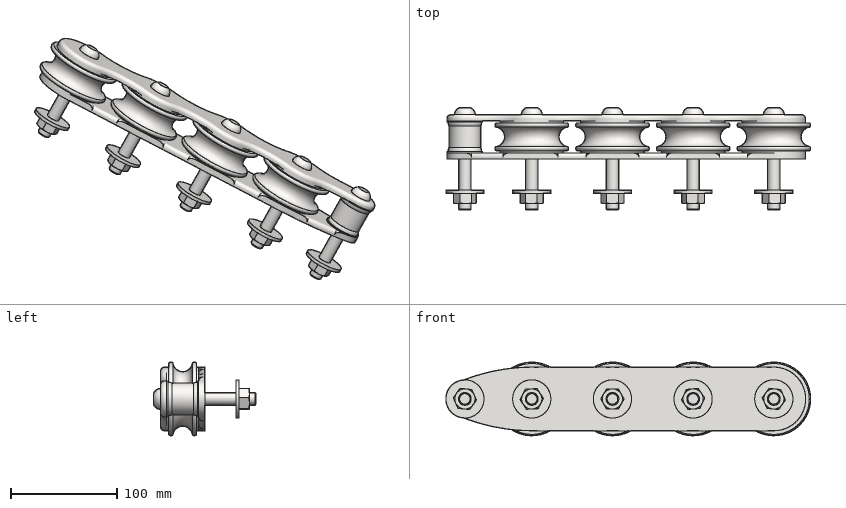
import cadquery as cq
import math


FIRST_ROLLER_X = 63.0
ROLLER_PITCH = 76.0
ROLLER_COUNT = 4
SPACER_X = 0.0
ROLLER_XS = [FIRST_ROLLER_X + ROLLER_PITCH * i for i in range(ROLLER_COUNT)]
LAST_ROLLER_X = ROLLER_XS[-1]
BOLT_XS = [SPACER_X] + ROLLER_XS

PLATE_GAP = 30.0
PLATE_THICKNESS = 6.0
PLATE_ROUNDING = 4.0
NOSE_RADIUS = 17.0
END_RADIUS = 30.0
WAIST_RADIUS = 40.0
NOSE_PAD_RADIUS = 16.8
PAD_HEIGHT = 1.0
INNER_Y = PLATE_GAP / 2
OUTER_Y = INNER_Y + PLATE_THICKNESS
PAD_Y = INNER_Y - PAD_HEIGHT
NOSE_BOSS_RADIUS = 21.5
ROLLER_BOSS_RADIUS = 39.0

ROLLER_RADIUS = 69.5 / 2
ROLLER_HALF_WIDTH = 13.2
HUB_RADIUS = 30.0
RIM_PEAK_Y = 11.1
RIM_SIDE_RADIUS = 33.4
GROOVE_HALF_WIDTH = 9.1
GROOVE_EDGE_RADIUS = 33.9
GROOVE_BOTTOM_RADIUS = 25.8

SPACER_RADIUS = 15.0
FLARE_RADIUS = 15.7
SPACER_END_RADIUS = 16.0
TAPER_LENGTH = 2.0
FLARE_Y = PAD_Y - TAPER_LENGTH
BODY_Y = FLARE_Y - TAPER_LENGTH

BOLT_RADIUS = 6.0
BOLT_CHAMFER = 1.0
BOLT_TIP_Y = -69.1
HEAD_HEIGHT = 6.5
HEAD_RADIUS = 10.0
HEAD_SHOULDER_RADIUS = 8.7
HEAD_SHOULDER_HEIGHT = 3.7
HEAD_TOP_RADIUS = 5.3
WASHER_RADIUS = 18.0
WASHER_THICKNESS = 3.0
WASHER_FRONT_Y = -53.2
NUT_ACROSS_FLATS = 19.0
NUT_HEIGHT = 9.7
NUT_CORNER_RADIUS = NUT_ACROSS_FLATS / math.sqrt(3)
NUT_CHAMFER_RISE = 0.8
NUT_TURNS = [6.0, -3.0, 0.0, -5.0, 6.0]


def cylinder(x, radius, y_low, y_high):
    """A cylinder along Y between two heights."""
    disc = cq.Workplane("XZ", origin=(x, y_high, 0)).circle(radius)
    return disc.extrude(y_high - y_low)


def turned(profile, x):
    """Turn a closed (radius, y) profile about the bolt axis at x."""
    return profile.revolve(360, (0, 0, 0), (0, 1, 0)).translate((x, 0, 0))


def front_outline():
    """Straight band with a round end, tapering along two large arcs to the nose."""
    run = FIRST_ROLLER_X - SPACER_X
    taper = (run**2 + END_RADIUS**2 - NOSE_RADIUS**2) / (2 * (END_RADIUS - NOSE_RADIUS))
    drop = taper - END_RADIUS
    angle = math.atan2(drop, run)
    nose = (SPACER_X - NOSE_RADIUS * math.cos(angle), NOSE_RADIUS * math.sin(angle))
    mid_angle = (angle + math.pi / 2) / 2
    mid = (FIRST_ROLLER_X - taper * math.cos(mid_angle), taper * math.sin(mid_angle) - drop)
    return (
        cq.Workplane("XZ")
        .moveTo(*nose)
        .threePointArc(mid, (FIRST_ROLLER_X, END_RADIUS))
        .lineTo(LAST_ROLLER_X, END_RADIUS)
        .threePointArc((LAST_ROLLER_X + END_RADIUS, 0), (LAST_ROLLER_X, -END_RADIUS))
        .lineTo(FIRST_ROLLER_X, -END_RADIUS)
        .threePointArc((mid[0], -mid[1]), (nose[0], -nose[1]))
        .threePointArc((SPACER_X - NOSE_RADIUS, 0), nose)
        .close()
    )


def front_plate():
    """Plate with a rounded inner edge that stays full around each bolt."""
    blank = front_outline().extrude(PLATE_THICKNESS).translate((0, -INNER_Y, 0))
    plate = blank.faces(">Y").edges().fillet(PLATE_ROUNDING)
    for x in BOLT_XS:
        radius = NOSE_BOSS_RADIUS if x == SPACER_X else ROLLER_BOSS_RADIUS
        boss = cylinder(x, radius, -OUTER_Y, -INNER_Y)
        boss = boss.faces(">Y").edges().fillet(PLATE_ROUNDING)
        plate = plate.union(boss.intersect(blank))
    return plate


def back_outline():
    """Wavy outline: a round lobe at each roller, concave waists between, a straight-sided nose."""
    reach = END_RADIUS + WAIST_RADIUS
    share = END_RADIUS / reach
    neck_z = NOSE_RADIUS + WAIST_RADIUS
    neck_run = math.sqrt(reach**2 - neck_z**2)
    neck_x = FIRST_ROLLER_X - neck_run
    neck_angle = math.atan2(neck_run, neck_z) / 2
    neck_start = (neck_x, NOSE_RADIUS)
    neck_mid = (
        neck_x + WAIST_RADIUS * math.sin(neck_angle),
        neck_z - WAIST_RADIUS * math.cos(neck_angle),
    )
    neck_end = (FIRST_ROLLER_X - neck_run * share, neck_z * share)
    waist_z = math.sqrt(reach**2 - (ROLLER_PITCH / 2) ** 2)
    half_lobe = ROLLER_PITCH / 2 * share
    lobe_z = waist_z * share

    upper = [(SPACER_X, NOSE_RADIUS), neck_start, neck_mid, neck_end]
    for x in ROLLER_XS[:-1]:
        upper += [
            (x, END_RADIUS),
            (x + half_lobe, lobe_z),
            (x + ROLLER_PITCH / 2, waist_z - WAIST_RADIUS),
            (x + ROLLER_PITCH - half_lobe, lobe_z),
        ]
    lower = [(x, -z) for x, z in reversed(upper)]

    outline = cq.Workplane("XZ").moveTo(*upper[0]).lineTo(*upper[1])
    for mid, end in zip(upper[2::2], upper[3::2]):
        outline = outline.threePointArc(mid, end)
    outline = outline.threePointArc((LAST_ROLLER_X + END_RADIUS, 0), lower[0])
    for mid, end in zip(lower[1:-2:2], lower[2:-1:2]):
        outline = outline.threePointArc(mid, end)
    outline = outline.lineTo(*lower[-1])
    return outline.threePointArc((SPACER_X - NOSE_RADIUS, 0), upper[0]).close()


def back_plate():
    """Wavy plate with a rounded outer edge."""
    plate = back_outline().extrude(PLATE_THICKNESS).translate((0, OUTER_Y, 0))
    return plate.faces(">Y").edges().fillet(PLATE_ROUNDING)


def spacer():
    """Spacer between the noses, flaring towards a pad at each end."""
    profile = (
        cq.Workplane("XY")
        .moveTo(0, -INNER_Y)
        .lineTo(NOSE_PAD_RADIUS, -INNER_Y)
        .lineTo(NOSE_PAD_RADIUS, -PAD_Y)
        .lineTo(SPACER_END_RADIUS, -PAD_Y)
        .lineTo(FLARE_RADIUS, -FLARE_Y)
        .lineTo(SPACER_RADIUS, -BODY_Y)
        .lineTo(SPACER_RADIUS, BODY_Y)
        .lineTo(FLARE_RADIUS, FLARE_Y)
        .lineTo(SPACER_END_RADIUS, PAD_Y)
        .lineTo(NOSE_PAD_RADIUS, PAD_Y)
        .lineTo(NOSE_PAD_RADIUS, INNER_Y)
        .lineTo(0, INNER_Y)
        .close()
    )
    return turned(profile, SPACER_X)


def roller(x):
    """Grooved roller with round rims, its hub reaching both plates."""
    profile = (
        cq.Workplane("XY")
        .moveTo(0, -INNER_Y)
        .lineTo(HUB_RADIUS, -INNER_Y)
        .lineTo(HUB_RADIUS, -ROLLER_HALF_WIDTH)
        .lineTo(RIM_SIDE_RADIUS, -ROLLER_HALF_WIDTH)
        .threePointArc((ROLLER_RADIUS, -RIM_PEAK_Y), (GROOVE_EDGE_RADIUS, -GROOVE_HALF_WIDTH))
        .threePointArc((GROOVE_BOTTOM_RADIUS, 0), (GROOVE_EDGE_RADIUS, GROOVE_HALF_WIDTH))
        .threePointArc((ROLLER_RADIUS, RIM_PEAK_Y), (RIM_SIDE_RADIUS, ROLLER_HALF_WIDTH))
        .lineTo(HUB_RADIUS, ROLLER_HALF_WIDTH)
        .lineTo(HUB_RADIUS, INNER_Y)
        .lineTo(0, INNER_Y)
        .close()
    )
    return turned(profile, x)


def nut(x, turn):
    """Hexagon nut, its front corners chamfered, turned about the bolt axis."""
    back_y = WASHER_FRONT_Y
    front_y = back_y - NUT_HEIGHT
    blank = cq.Workplane("XZ").polygon(6, 2 * NUT_CORNER_RADIUS).extrude(NUT_HEIGHT)
    blank = blank.rotate((0, 0, 0), (0, 1, 0), turn).translate((x, back_y, 0))
    envelope = (
        cq.Workplane("XY")
        .moveTo(0, back_y)
        .lineTo(NUT_CORNER_RADIUS, back_y)
        .lineTo(NUT_CORNER_RADIUS, front_y + NUT_CHAMFER_RISE)
        .lineTo(NUT_ACROSS_FLATS / 2, front_y)
        .lineTo(0, front_y)
        .close()
    )
    return blank.intersect(turned(envelope, x))


def bolt(x, nut_turn):
    """Domed-head bolt with its washer and nut."""
    profile = (
        cq.Workplane("XY")
        .moveTo(0, BOLT_TIP_Y)
        .lineTo(BOLT_RADIUS - BOLT_CHAMFER, BOLT_TIP_Y)
        .lineTo(BOLT_RADIUS, BOLT_TIP_Y + BOLT_CHAMFER)
        .lineTo(BOLT_RADIUS, OUTER_Y)
        .lineTo(HEAD_RADIUS, OUTER_Y)
        .threePointArc(
            (HEAD_SHOULDER_RADIUS, OUTER_Y + HEAD_SHOULDER_HEIGHT),
            (HEAD_TOP_RADIUS, OUTER_Y + HEAD_HEIGHT),
        )
        .lineTo(0, OUTER_Y + HEAD_HEIGHT)
        .close()
    )
    washer = cylinder(x, WASHER_RADIUS, WASHER_FRONT_Y, WASHER_FRONT_Y + WASHER_THICKNESS)
    return turned(profile, x).union(washer).union(nut(x, nut_turn))


result = front_plate().union(back_plate()).union(spacer())
for roller_x in ROLLER_XS:
    result = result.union(roller(roller_x))
for bolt_x, nut_turn in zip(BOLT_XS, NUT_TURNS):
    result = result.union(bolt(bolt_x, nut_turn))